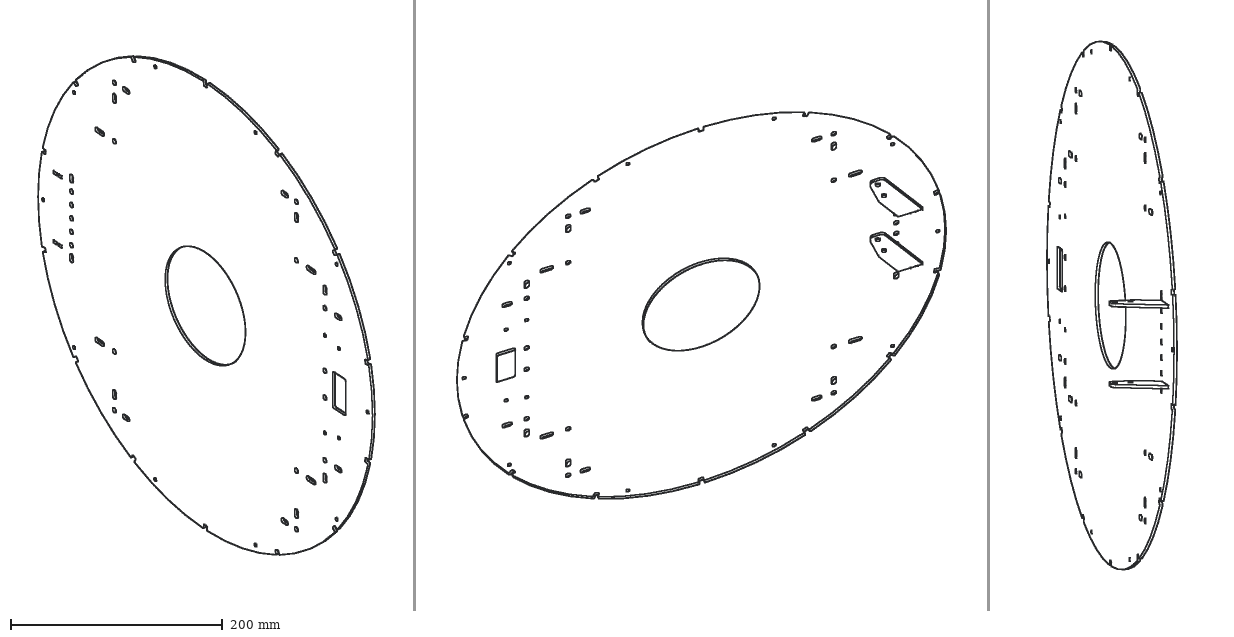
import cadquery as cq
import math


disc_diameter = 500.0
disc_thickness = 3.0
bore_diameter = 120.0

notch_count = 14
notch_pitch_angle = 360 / notch_count
notch_width = 5.0
notch_depth = 5.0
notch_corner_radius = 1.0
rim_hole_count = 10
rim_hole_radius = 242.5
small_hole_diameter = 3.5

mount_hole_diameter = 5.0
slot_width = mount_hole_diameter
slot_length = 10.0

corner_x = 136.0
corner_outer_z = 183.0
corner_inner_z = 117.5
corner_flat_slot_x = 118.5
corner_upright_slot_z = 165.5
corner_long_slot_x = 158.0
corner_long_slot_length = 13.5

right_column_x = 178.5
right_slot_z = 105.0
right_hole_z = 85.0
right_flat_slot_x = 198.5
right_small_hole_z = 54.5
right_outer_hole_x = 199.5
right_outer_hole_z = 50.0
right_middle_hole_z = 15.0

window_x = 200.0
window_width = 19.5
window_height = 40.5
window_corner_radius = 2.0

left_column_x = -200.0
left_hole_pitch = 15.0
left_hole_count = 5
left_slot_z = 44.5
left_slot_length = 9.0

bracket_spacing = 77.5
bracket_levels = (-bracket_spacing / 2, bracket_spacing / 2)
bracket_thickness = 3.0
bracket_height = 50.0
bracket_head_x = -200.0
bracket_head_width = 15.0
bracket_foot_left = -227.0
bracket_foot_width = 25.0
bracket_bend_height = 24.5
bracket_corner_radius = 5.0
bracket_hole_diameter = 4.5
bracket_hole_heights = (30.0, 45.0)
tab_length = 5.0
tab_gap = 2.5
tab_starts = (bracket_foot_left, bracket_foot_left + tab_length + tab_gap)


def front_sketch(points):
    """Workplane on the disc's front face, with X right and Z up, at the given points."""
    return cq.Workplane("XZ").pushPoints(points)


def mirrored(x_values, z):
    """The points at each x, both above and below Z = 0."""
    return [(x, side * z) for x in x_values for side in (-1, 1)]


def cut_holes(plate, points, diameter):
    return plate.cut(front_sketch(points).circle(diameter / 2).extrude(-disc_thickness))


def cut_slots(plate, points, length, angle):
    return plate.cut(front_sketch(points).slot2D(length, slot_width, angle).extrude(-disc_thickness))


def cut_notches(plate):
    """Notches from the top of the rim round, with rounded floors and rounded lips."""
    notch = (
        cq.Workplane("XZ")
        .center(0, disc_diameter / 2)
        .rect(notch_width, 2 * notch_depth)
        .extrude(-disc_thickness)
        .edges("|Y")
        .fillet(notch_corner_radius)
    )
    for i in range(notch_count):
        plate = plate.cut(notch.rotate((0, 0, 0), (0, 1, 0), i * notch_pitch_angle))
    lip_inner_radius = disc_diameter / 2 - notch_corner_radius
    core = cq.Workplane("XZ").circle(lip_inner_radius).extrude(-disc_thickness).val()
    lips = [edge for edge in plate.edges("|Y").vals() if edge.distance(core) > 0]
    return plate.newObject(lips).fillet(notch_corner_radius)


def cut_rim_holes(plate):
    """Small holes spread evenly just inside the rim."""
    angles = [i * 2 * math.pi / rim_hole_count for i in range(rim_hole_count)]
    points = [(rim_hole_radius * math.cos(a), rim_hole_radius * math.sin(a)) for a in angles]
    return cut_holes(plate, points, small_hole_diameter)


def cut_corner_groups(plate):
    """Four groups, each of two holes, two short slots and one long slot."""
    both_sides = (-corner_x, corner_x)
    holes = mirrored(both_sides, corner_outer_z) + mirrored(both_sides, corner_inner_z)
    plate = cut_holes(plate, holes, mount_hole_diameter)
    flat_slots = mirrored((-corner_flat_slot_x, corner_flat_slot_x), corner_outer_z)
    plate = cut_slots(plate, flat_slots, slot_length, 0)
    plate = cut_slots(plate, mirrored(both_sides, corner_upright_slot_z), slot_length, 90)
    long_slots = mirrored((-corner_long_slot_x, corner_long_slot_x), corner_inner_z)
    return cut_slots(plate, long_slots, corner_long_slot_length, 0)


def cut_right_group(plate):
    """Slots, mounting holes and small holes on the right, alike above and below Z = 0."""
    column = (right_column_x,)
    plate = cut_slots(plate, mirrored(column, right_slot_z), slot_length, 90)
    plate = cut_slots(plate, mirrored((right_flat_slot_x,), right_hole_z), slot_length, 0)
    holes = mirrored(column, right_hole_z) + mirrored(column, right_middle_hole_z)
    plate = cut_holes(plate, holes, mount_hole_diameter)
    small_holes = mirrored(column, right_small_hole_z) + mirrored((right_outer_hole_x,), right_outer_hole_z)
    return cut_holes(plate, small_holes, small_hole_diameter)


def cut_window(plate):
    window = (
        front_sketch([(window_x, 0)])
        .rect(window_width, window_height)
        .extrude(-disc_thickness)
        .edges("|Y")
        .fillet(window_corner_radius)
    )
    return plate.cut(window)


def cut_left_column(plate):
    first_z = -left_hole_pitch * (left_hole_count - 1) / 2
    holes = [(left_column_x, first_z + i * left_hole_pitch) for i in range(left_hole_count)]
    plate = cut_holes(plate, holes, mount_hole_diameter)
    return cut_slots(plate, mirrored((left_column_x,), left_slot_z), left_slot_length, 90)


def make_tabs(z):
    """The two bracket tabs at height z, as deep as the disc is thick."""
    centres = [(start + tab_length / 2, z) for start in tab_starts]
    return front_sketch(centres).rect(tab_length, bracket_thickness).extrude(-disc_thickness)


def make_disc():
    disc = (
        cq.Workplane("XZ")
        .circle(disc_diameter / 2)
        .circle(bore_diameter / 2)
        .extrude(-disc_thickness)
    )
    disc = cut_notches(disc)
    disc = cut_rim_holes(disc)
    disc = cut_corner_groups(disc)
    disc = cut_right_group(disc)
    disc = cut_window(disc)
    disc = cut_left_column(disc)
    for z in bracket_levels:
        disc = disc.cut(make_tabs(z))
    return disc


def make_bracket(z):
    """Leaning bracket centred on height z, with two holes in its head and two tabs in the disc."""
    head_left = bracket_head_x - bracket_head_width / 2
    head_right = bracket_head_x + bracket_head_width / 2
    foot_y = disc_thickness
    head_y = foot_y + bracket_height
    bracket = (
        cq.Workplane("XY", origin=(0, 0, z))
        .moveTo(bracket_foot_left, foot_y)
        .lineTo(bracket_foot_left + bracket_foot_width, foot_y)
        .lineTo(head_right, foot_y + bracket_bend_height)
        .lineTo(head_right, head_y)
        .lineTo(head_left, head_y)
        .close()
        .extrude(bracket_thickness / 2, both=True)
        .edges("|Z and >Y")
        .fillet(bracket_corner_radius)
    )
    holes = (
        cq.Workplane("XY", origin=(0, 0, z))
        .pushPoints([(bracket_head_x, foot_y + height) for height in bracket_hole_heights])
        .circle(bracket_hole_diameter / 2)
        .extrude(bracket_thickness / 2, both=True)
    )
    return bracket.cut(holes).union(make_tabs(z))


disc = make_disc()
brackets = [make_bracket(z) for z in bracket_levels]

result = cq.Compound.makeCompound([disc.val(), *[bracket.val() for bracket in brackets]])